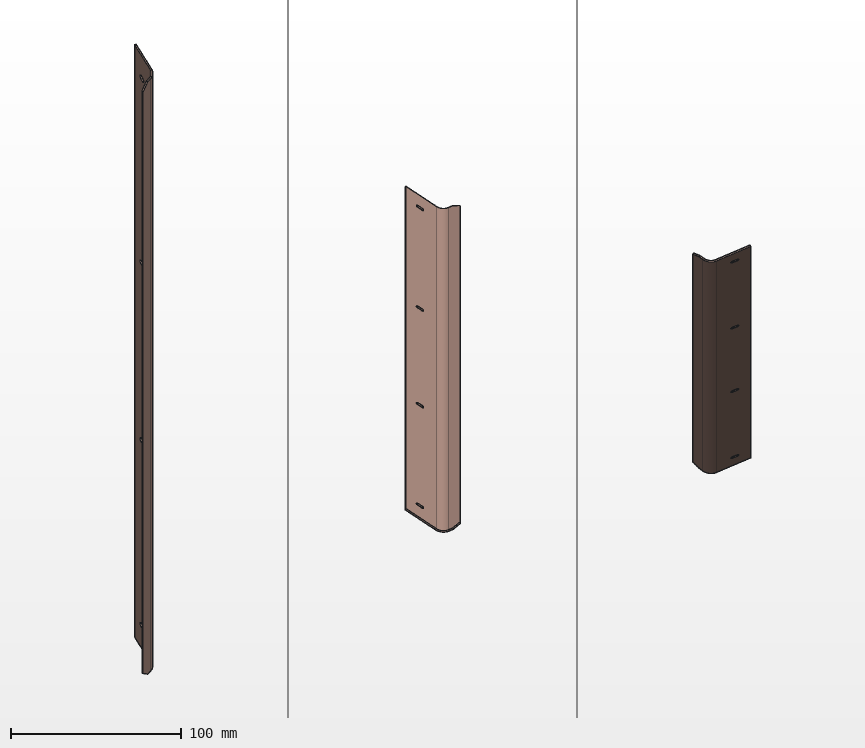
import cadquery as cq
import math

length = 508.0
width = 32.5

thickness = 1.0
flat_width = 22.0
inner_radius = 7.0
bend_angle = math.radians(60)
outer_radius = inner_radius + thickness

corner_cut = 4.5

slot_x = 10.0
slot_length = 5.0
slot_height = 3.0
end_slot_offset = 234.5
middle_slot_offset = 76.0

bend_center_y = -outer_radius
flange_dx = math.cos(bend_angle)
flange_dy = -math.sin(bend_angle)


def on_bend(radius, angle):
    """Point on a bend arc, with the angle measured from the flat."""
    return (
        flat_width + radius * math.sin(angle),
        bend_center_y + radius * math.cos(angle),
    )


def along_flange(start, distance):
    return (start[0] + distance * flange_dx, start[1] + distance * flange_dy)


outer_bend_end = on_bend(outer_radius, bend_angle)
inner_bend_end = on_bend(inner_radius, bend_angle)
flange_length = (width - outer_bend_end[0]) / flange_dx
outer_tip = along_flange(outer_bend_end, flange_length)
inner_tip = along_flange(inner_bend_end, flange_length)


def bent_sheet():
    return (
        cq.Workplane("XY")
        .workplane(offset=-length / 2)
        .lineTo(flat_width, 0)
        .threePointArc(on_bend(outer_radius, bend_angle / 2), outer_bend_end)
        .lineTo(*outer_tip)
        .lineTo(*inner_tip)
        .lineTo(*inner_bend_end)
        .threePointArc(on_bend(inner_radius, bend_angle / 2), (flat_width, -thickness))
        .lineTo(0, -thickness)
        .close()
        .extrude(length)
    )


def corner_cutter(end):
    """Triangular prism across the flange tip; end is +1 at the top, -1 at the bottom."""
    flange_plane = cq.Plane(
        origin=(outer_tip[0], outer_tip[1], end * length / 2),
        xDir=(flange_dx, flange_dy, 0),
        normal=(-flange_dy, flange_dx, 0),
    )
    inward_z = -end * corner_cut * flange_plane.yDir.z
    return (
        cq.Workplane(flange_plane)
        .polyline([(0, 0), (-corner_cut, 0), (0, inward_z)])
        .close()
        .extrude(thickness, both=True)
    )


slot_z_positions = [
    side * offset for side in (-1, 1) for offset in (middle_slot_offset, end_slot_offset)
]
slots = (
    cq.Workplane("XZ")
    .pushPoints([(slot_x, z) for z in slot_z_positions])
    .slot2D(slot_length, slot_height)
    .extrude(outer_radius)
)

result = bent_sheet().cut(slots)
for end in (-1, 1):
    result = result.cut(corner_cutter(end))